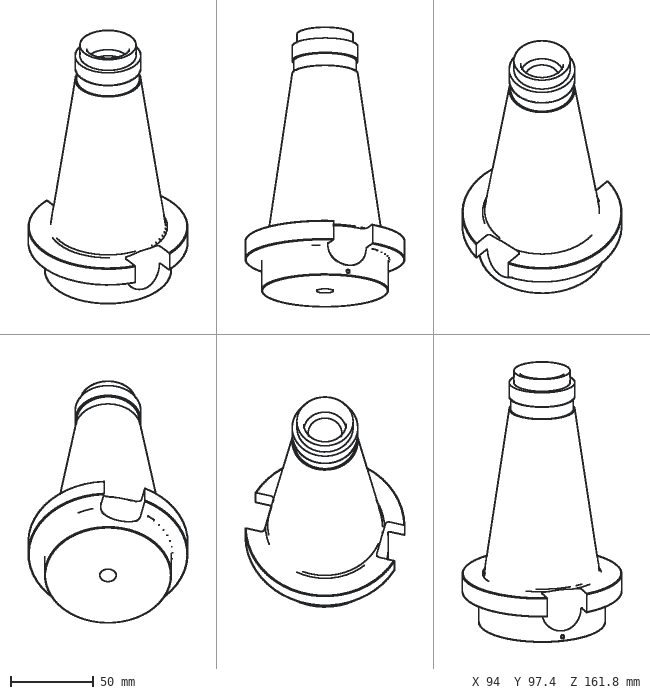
import cadquery as cq
import math

total_height = 161.8
base_radius = 38.7
flange_radius = 48.7
taper_large_radius = 35.0
taper_small_radius = 20.0
neck_radius = 19.1
collar_radius = 20.0
pilot_radius = 17.2

flange_bottom = 19.5
flange_top = 31.7
taper_bottom = 34.1
taper_top = 137.0
collar_bottom = 144.8
collar_top = 154.2

base_chamfer = 0.5
flange_chamfer = 0.5
flange_root = 0.8
taper_root = 1.3
collar_chamfer = 0.3

bore_radius = 13.0
mouth_fillet = 3.2
bore_depth = 11.3
seat_radius = 12.0
seat_drop = 0.8
thread_radius = 10.2
thread_lead_drop = 1.8
thread_bottom = 80.9
through_radius = 5.0
drill_tip_angle = 120.0

slot_half_width = 12.8
slot_floor = 35.3
slot_center_height = 19.5
slot_fillet = 2.1

dimple_radius = 1.1
dimple_height = 2.9
dimple_depth = 1.1


def quarter_arc_point(center_r, center_z, radius, degrees):
    """Point on a circle lying in the radius-height plane."""
    angle = math.radians(degrees)
    return (center_r + radius * math.cos(angle), center_z + radius * math.sin(angle))


def make_body():
    """Revolved outside of the tool holder."""
    lower_root = quarter_arc_point(base_radius + flange_root, flange_bottom - flange_root, flange_root, 135)
    upper_root = quarter_arc_point(taper_large_radius + taper_root, flange_top + taper_root, taper_root, 225)
    return (
        cq.Workplane("XZ")
        .moveTo(0, 0)
        .lineTo(base_radius - base_chamfer, 0)
        .lineTo(base_radius, base_chamfer)
        .lineTo(base_radius, flange_bottom - flange_root)
        .threePointArc(lower_root, (base_radius + flange_root, flange_bottom))
        .lineTo(flange_radius - flange_chamfer, flange_bottom)
        .lineTo(flange_radius, flange_bottom + flange_chamfer)
        .lineTo(flange_radius, flange_top - flange_chamfer)
        .lineTo(flange_radius - flange_chamfer, flange_top)
        .lineTo(taper_large_radius + taper_root, flange_top)
        .threePointArc(upper_root, (taper_large_radius, flange_top + taper_root))
        .lineTo(taper_large_radius, taper_bottom)
        .lineTo(taper_small_radius, taper_top)
        .lineTo(neck_radius, taper_top)
        .lineTo(neck_radius, collar_bottom)
        .lineTo(collar_radius - collar_chamfer, collar_bottom)
        .lineTo(collar_radius, collar_bottom + collar_chamfer)
        .lineTo(collar_radius, collar_top)
        .lineTo(pilot_radius, collar_top)
        .lineTo(pilot_radius, total_height)
        .lineTo(0, total_height)
        .close()
        .revolve(360, (0, 0, 0), (0, 1, 0))
    )


def make_bore():
    """Rounded mouth, stepped seat, thread bore, drill tip and through hole."""
    mouth_radius = bore_radius + mouth_fillet
    mouth_bottom = total_height - mouth_fillet
    seat_top = total_height - bore_depth
    seat_bottom = seat_top - seat_drop
    tip_drop = (thread_radius - through_radius) / math.tan(math.radians(drill_tip_angle / 2))
    mouth_middle = quarter_arc_point(mouth_radius, mouth_bottom, mouth_fillet, 135)
    return (
        cq.Workplane("XZ")
        .moveTo(0, 0)
        .lineTo(through_radius, 0)
        .lineTo(through_radius, thread_bottom - tip_drop)
        .lineTo(thread_radius, thread_bottom)
        .lineTo(thread_radius, seat_bottom - thread_lead_drop)
        .lineTo(seat_radius, seat_bottom)
        .lineTo(bore_radius, seat_top)
        .lineTo(bore_radius, mouth_bottom)
        .threePointArc(mouth_middle, (mouth_radius, total_height))
        .lineTo(0, total_height)
        .close()
        .revolve(360, (0, 0, 0), (0, 1, 0))
    )


def make_slot():
    """Round-ended drive slot on the +X side, with its floor edge filleted."""
    slot_top = taper_bottom
    slot_bottom = slot_center_height - slot_half_width
    outer_clearance = 1.6
    return (
        cq.Workplane("YZ", origin=(slot_floor, 0, 0))
        .moveTo(-slot_half_width, slot_top)
        .lineTo(-slot_half_width, slot_center_height)
        .threePointArc((0, slot_bottom), (slot_half_width, slot_center_height))
        .lineTo(slot_half_width, slot_top)
        .close()
        .extrude(flange_radius - slot_floor + outer_clearance)
        .faces("<X")
        .edges("not(>Z)")
        .fillet(slot_fillet)
    )


def make_dimple():
    """Shallow round hole near the bottom of the -X side."""
    return (
        cq.Workplane("YZ", origin=(-base_radius, 0, dimple_height))
        .circle(dimple_radius)
        .extrude(dimple_depth)
    )


slot = make_slot()
result = (
    make_body()
    .cut(make_bore())
    .cut(slot)
    .cut(slot.rotate((0, 0, 0), (0, 0, 1), 180))
    .cut(make_dimple())
)